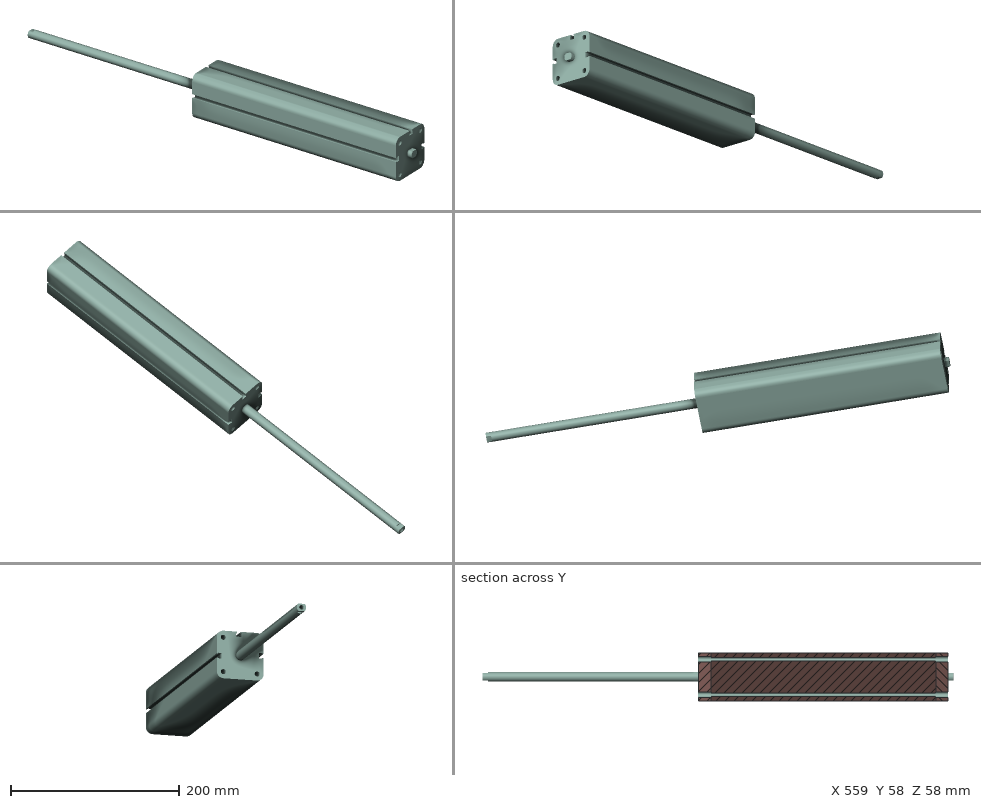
import cadquery as cq

total_length = 559.0
side = 58.0
corner_radius = 8.5

rod_stub = 6.0
housing_length = 297.0
cap_length = 15.0
tube_length = housing_length - 2 * cap_length
rod_start = -total_length / 2
rod_end = total_length / 2
rear_cap_start = rod_end - rod_stub - cap_length
tube_start = rear_cap_start - tube_length
front_cap_start = tube_start - cap_length

rod_diameter = 12.0
rod_chamfer = 0.5
flat_spacing = 9.0
flat_length = 6.0
tapped_hole_diameter = 5.5
tapped_hole_depth = 11.0
drill_point_depth = 1.4

slot_angles = (0, 90, -90)
slot_offset = 1.5
slot_opening = 5.0
slot_width = 6.5
slot_lip = 1.5
slot_depth = 6.0

bolt_pitch = 42.0
cap_bolt_diameter = 6.0
tube_bolt_diameter = 3.5


def section_plane(start):
    """Plane across the rod axis, with local x along Y and local y along Z."""
    return cq.Workplane("YZ", origin=(start, 0, 0))


def slot_cutter(start, length):
    """T-slot in the top face: a narrow opening above a wider channel."""
    channel_height = slot_depth - slot_lip
    opening_z = (side - slot_lip) / 2
    channel_z = side / 2 - slot_lip - channel_height / 2
    opening = section_plane(start).center(slot_offset, opening_z).rect(slot_opening, slot_lip).extrude(length)
    channel = section_plane(start).center(slot_offset, channel_z).rect(slot_width, channel_height).extrude(length)
    return opening.union(channel)


def housing_section(start, length, bolt_diameter):
    """Rounded square length of housing with the rod bore, bolt holes and T-slots running through."""
    section = section_plane(start).rect(side, side).extrude(length)
    section = section.edges("|X").fillet(corner_radius)
    section = section.cut(section_plane(start).circle(rod_diameter / 2).extrude(length))
    bolt_centres = section_plane(start).rect(bolt_pitch, bolt_pitch, forConstruction=True).vertices()
    section = section.cut(bolt_centres.circle(bolt_diameter / 2).extrude(length))
    slot = slot_cutter(start, length)
    for angle in slot_angles:
        section = section.cut(slot.rotate((0, 0, 0), (1, 0, 0), angle))
    return section


def make_cap(start):
    return housing_section(start, cap_length, cap_bolt_diameter)


def make_tube():
    return housing_section(tube_start, tube_length, tube_bolt_diameter)


def end_flats_cutter(start):
    """Everything outside two parallel flats facing +Z and -Z."""
    around_rod = section_plane(start).rect(2 * rod_diameter, 2 * rod_diameter).extrude(flat_length)
    between_flats = section_plane(start).rect(2 * rod_diameter, flat_spacing).extrude(flat_length)
    return around_rod.cut(between_flats)


def tapped_hole_cutter():
    """Blind hole in the front end of the rod, with a conical drill point."""
    radius = tapped_hole_diameter / 2
    hole_end = rod_start + tapped_hole_depth
    hole = section_plane(rod_start).circle(radius).extrude(tapped_hole_depth)
    drill_point = cq.Solid.makeCone(radius, 0, drill_point_depth, cq.Vector(hole_end, 0, 0), cq.Vector(1, 0, 0))
    return hole.union(cq.Workplane(drill_point))


def make_rod():
    rod = section_plane(rod_start).circle(rod_diameter / 2).extrude(total_length)
    rod = rod.faces(">X").chamfer(rod_chamfer)
    for flat_start in (rod_start, rod_end - flat_length):
        rod = rod.cut(end_flats_cutter(flat_start))
    return rod.cut(tapped_hole_cutter())


caps = [make_cap(start) for start in (front_cap_start, rear_cap_start)]
tube = make_tube()
rod = make_rod()

result = cq.Compound.makeCompound([*(cap.val() for cap in caps), tube.val(), rod.val()])